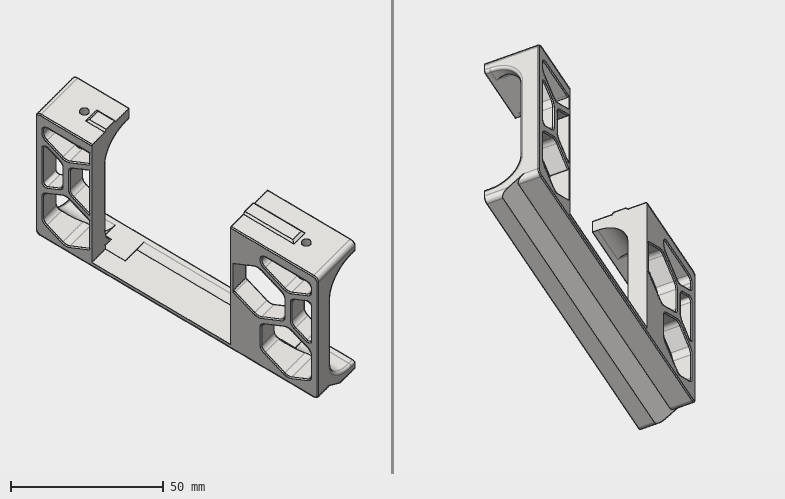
import cadquery as cq
import math

length = 117.0
depth = 20.0
body_top = 66.0
rail_height = 0.8
corner_radius = 2.0
front_chamfer = 0.41

body_bottom = 4.0
lip_toe_y = 14.2
lip_root_y = 8.4

wall = 7.0
cavity_bottom = 5.0
cavity_top = 61.0
cavity_radius = 11.0
cavity_edge_radius = 1.0

channel_left = -35.2
channel_right = 22.2
channel_floor = 6.1

cell_pitch = 25.0
cell_flats = 22.0
column_x = 46.0
middle_row_z = 41.0
row_pitch = cell_pitch * math.sin(math.radians(60))
frame_x = 55.5
cell_radius = 2.9
frame_corner_radius = 2.0
sharp_corner_radius = 1.2
web = 1.0

pocket_x = 33.5
pocket_floor_width = 11.9
pocket_front = 7.3
pocket_height = 2.9
pocket_slope = math.radians(60)

rail_length = 86.3
rail_width = 6.0
rail_end_bevel = 1.0
rail_side_bevel = 0.7
hole_diameter = 3.2


def box(x0, x1, y0, y1, z0, z1):
    """Axis-aligned box between two opposite corners."""
    solid = cq.Workplane("XY").box(x1 - x0, y1 - y0, z1 - z0, centered=False)
    return solid.translate((x0, y0, z0))


def rounded_block(z0, z1):
    """Full-length block with its long corners rounded in the XZ plane."""
    return box(-length / 2, length / 2, 0, depth, z0, z1).edges("|Y").fillet(corner_radius)


def window(x, z):
    """Hexagonal prism trimmed to the window frame, with rounded corners."""
    apex = cell_flats / 2 / math.cos(math.radians(30))
    angles = [math.radians(30 + 60 * corner) for corner in range(6)]
    corners = [(x + apex * math.cos(angle), z + apex * math.sin(angle)) for angle in angles]
    cell = cq.Workplane("XZ").polyline(corners).close().extrude(-depth)
    trimmed = cell.intersect(box(-frame_x, frame_x, 0, depth, 0, cavity_top))
    edges = trimmed.edges("|Y")
    if abs(x) > frame_x:
        frame_side, open_side = (">X", "<X") if x > 0 else ("<X", ">X")
        half_cell = trimmed.faces(frame_side).edges("|Y").fillet(sharp_corner_radius)
        return half_cell.faces(open_side).edges("|Y").fillet(cell_radius)
    if z > middle_row_z:
        top_cell = edges.edges("not >Z").fillet(cell_radius)
        return top_cell.faces(">Z").edges("|Y").fillet(frame_corner_radius)
    return edges.fillet(cell_radius)


def window_centres():
    """Cell centres of both towers: an upper and a lower cell, and two in the middle row."""
    for side in (-1, 1):
        for row in (-1, 1):
            yield side * column_x, middle_row_z + row * row_pitch
        for step in (-0.5, 0.5):
            yield side * (column_x + step * cell_pitch), middle_row_z


def lip():
    """Rear lip; its front slope carries on up into the body."""
    slope_rate = body_bottom / (lip_toe_y - lip_root_y)
    slope_end_y = lip_toe_y - channel_floor / slope_rate
    profile = (
        cq.Workplane("YZ")
        .polyline([(lip_toe_y, 0), (depth, 0), (depth, channel_floor), (slope_end_y, channel_floor)])
        .close()
        .extrude(length / 2, both=True)
    )
    return profile.intersect(rounded_block(0, body_top))


def cavity():
    """Cutter that runs the full length and leaves through the back face."""
    section = box(-length / 2, length / 2, wall, depth + cavity_radius, cavity_bottom, cavity_top)
    return section.faces("<Y").edges("|X").fillet(cavity_radius)


def round_cavity_ends(solid):
    """Round the cavity's edges where it opens on the two end faces."""
    margin = 0.1
    inside = cq.selectors.BoxSelector(
        (-length, wall - margin, cavity_bottom - margin),
        (length, depth - margin, cavity_top + margin),
    )
    return solid.faces("<X or >X").edges(inside).fillet(cavity_edge_radius)


def pocket(side):
    """Floor pocket that squares off the cavity's lower bend; its ends lean outwards."""
    floor_half = pocket_floor_width / 2
    top_half = floor_half + pocket_height / math.tan(pocket_slope)
    return (
        cq.Workplane("XZ", origin=(side * pocket_x, pocket_front, cavity_bottom))
        .polyline([(-floor_half, 0), (floor_half, 0), (top_half, pocket_height), (-top_half, pocket_height)])
        .close()
        .extrude(pocket_front - depth)
    )


body = rounded_block(body_bottom, body_top)
for x, z in window_centres():
    body = body.cut(window(x, z))
body = body.faces("<Y").edges().chamfer(front_chamfer)

for x0 in (channel_left - web, channel_right):
    body = body.union(box(x0, x0 + web, 0, depth, channel_floor, cavity_top + front_chamfer))

body = round_cavity_ends(body.union(lip()).cut(cavity()))
for side in (-1, 1):
    body = body.cut(pocket(side))

rail = (
    cq.Workplane("XY", origin=(0, depth / 2, body_top))
    .rect(rail_length, rail_width)
    .workplane(offset=rail_height)
    .rect(rail_length - 2 * rail_end_bevel, rail_width - 2 * rail_side_bevel)
    .loft(ruled=True)
)
body = body.union(rail)

body = body.cut(box(channel_left, channel_right, 0, depth, channel_floor, body_top + rail_height))

holes = (
    cq.Workplane("XY", origin=(0, depth / 2, body_top))
    .pushPoints([(-column_x, 0), (column_x, 0)])
    .circle(hole_diameter / 2)
    .extrude(cavity_top - front_chamfer - body_top)
)
result = body.cut(holes)